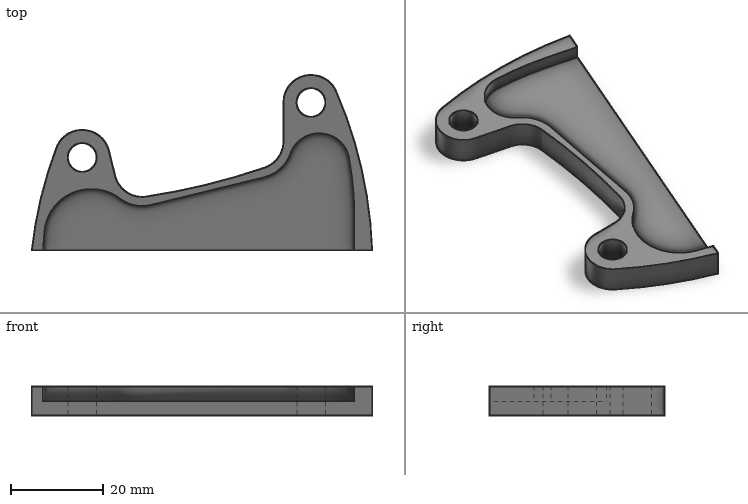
import cadquery as cq
import math

base_length = 73.99
thickness = 6.35
floor_thickness = thickness / 2

hole_diameter = 6.2
lug_radius = 6.0
left_lug = (10.97, 20.17)
right_lug = (60.67, 32.11)

left_flank_radius = 90.0
right_flank_radius = 95.0

valley_radius = 6.0
saddle_radius = 148.0
left_valley = (23.97, 17.62)
right_valley = (right_lug[0] - lug_radius - valley_radius, 23.65)

wall_thickness = 2.0
pocket_left_start = 2.45
pocket_right_edge = 70.12
left_lobe = (12.95, 3.05)
right_lobe = (62.45, 18.82)
pocket_side_radius = 68.4


def polar(center, radius, angle):
    """Point at a given radius and angle (radians) from a centre."""
    return (center[0] + radius * math.cos(angle), center[1] + radius * math.sin(angle))


def heading(start, end):
    """Angle of the direction from start to end."""
    return math.atan2(end[1] - start[1], end[0] - start[0])


def center_from_distances(a, distance_a, b, distance_b):
    """Point at the given distances from a and b, on the left of the direction a -> b."""
    span = math.dist(a, b)
    cosine = (distance_a**2 + span**2 - distance_b**2) / (2 * distance_a * span)
    return polar(a, distance_a, heading(a, b) + math.acos(cosine))


def arc_to(sketch, center, start, end):
    """Extend the sketch from start to end by the shorter arc about a centre."""
    bisector = (start[0] + end[0] - 2 * center[0], start[1] + end[1] - 2 * center[1])
    middle = polar(center, math.dist(center, start), math.atan2(bisector[1], bisector[0]))
    return sketch.threePointArc(middle, end)


def make_plate():
    left_corner = (0, 0)
    right_corner = (base_length, 0)

    left_flank = center_from_distances(
        left_lug, left_flank_radius - lug_radius, left_corner, left_flank_radius)
    right_flank = center_from_distances(
        right_corner, right_flank_radius, right_lug, right_flank_radius - lug_radius)
    left_lug_outer = polar(left_lug, lug_radius, heading(left_flank, left_lug))
    right_lug_outer = polar(right_lug, lug_radius, heading(right_flank, right_lug))

    lug_to_valley = math.acos((lug_radius + valley_radius) / math.dist(left_lug, left_valley))
    crossing_normal = heading(left_lug, left_valley) + lug_to_valley
    left_lug_inner = polar(left_lug, lug_radius, crossing_normal)
    left_valley_start = polar(left_valley, -valley_radius, crossing_normal)

    saddle_offset = saddle_radius - valley_radius
    saddle = center_from_distances(left_valley, saddle_offset, right_valley, saddle_offset)
    saddle_start = polar(left_valley, valley_radius, heading(saddle, left_valley))
    saddle_end = polar(right_valley, valley_radius, heading(saddle, right_valley))

    right_valley_end = polar(right_valley, valley_radius, 0)
    right_lug_inner = polar(right_lug, lug_radius, math.pi)

    outline = cq.Workplane("XY").moveTo(*left_corner)
    outline = arc_to(outline, left_flank, left_corner, left_lug_outer)
    outline = arc_to(outline, left_lug, left_lug_outer, left_lug_inner)
    outline = outline.lineTo(*left_valley_start)
    outline = arc_to(outline, left_valley, left_valley_start, saddle_start)
    outline = arc_to(outline, saddle, saddle_start, saddle_end)
    outline = arc_to(outline, right_valley, saddle_end, right_valley_end)
    outline = outline.lineTo(*right_lug_inner)
    outline = arc_to(outline, right_lug, right_lug_inner, right_lug_outer)
    outline = arc_to(outline, right_flank, right_lug_outer, right_corner)
    return outline.close().extrude(thickness)


def make_pocket():
    bend_radius = valley_radius + wall_thickness
    left_lobe_radius = math.dist(left_lobe, left_valley) - bend_radius
    right_lobe_radius = math.dist(right_lobe, right_valley) - bend_radius

    left_start = (pocket_left_start, 0)
    tangent_swing = math.acos(left_lobe_radius / math.dist(left_lobe, left_start))
    left_lobe_start = polar(
        left_lobe, left_lobe_radius, heading(left_lobe, left_start) - tangent_swing)
    left_lobe_end = polar(left_lobe, left_lobe_radius, heading(left_lobe, left_valley))

    wall_normal = heading(left_valley, right_valley) - math.pi / 2
    wall_start = polar(left_valley, bend_radius, wall_normal)
    wall_end = polar(right_valley, bend_radius, wall_normal)
    right_lobe_start = polar(right_lobe, right_lobe_radius, heading(right_lobe, right_valley))

    side_x = pocket_right_edge - pocket_side_radius
    side_reach = pocket_side_radius - right_lobe_radius
    side_drop = math.sqrt(side_reach**2 - (right_lobe[0] - side_x) ** 2)
    side = (side_x, right_lobe[1] - side_drop)
    right_lobe_end = polar(right_lobe, right_lobe_radius, heading(side, right_lobe))
    side_end = polar(side, pocket_side_radius, 0)

    outline = cq.Workplane("XY").workplane(offset=floor_thickness).moveTo(*left_start)
    outline = outline.lineTo(*left_lobe_start)
    outline = arc_to(outline, left_lobe, left_lobe_start, left_lobe_end)
    outline = arc_to(outline, left_valley, left_lobe_end, wall_start)
    outline = outline.lineTo(*wall_end)
    outline = arc_to(outline, right_valley, wall_end, right_lobe_start)
    outline = arc_to(outline, right_lobe, right_lobe_start, right_lobe_end)
    outline = arc_to(outline, side, right_lobe_end, side_end)
    outline = outline.lineTo(pocket_right_edge, 0)
    return outline.close().extrude(thickness - floor_thickness)


def make_holes():
    lug_centers = [left_lug, right_lug]
    return cq.Workplane("XY").pushPoints(lug_centers).circle(hole_diameter / 2).extrude(thickness)


result = make_plate().cut(make_pocket()).cut(make_holes())